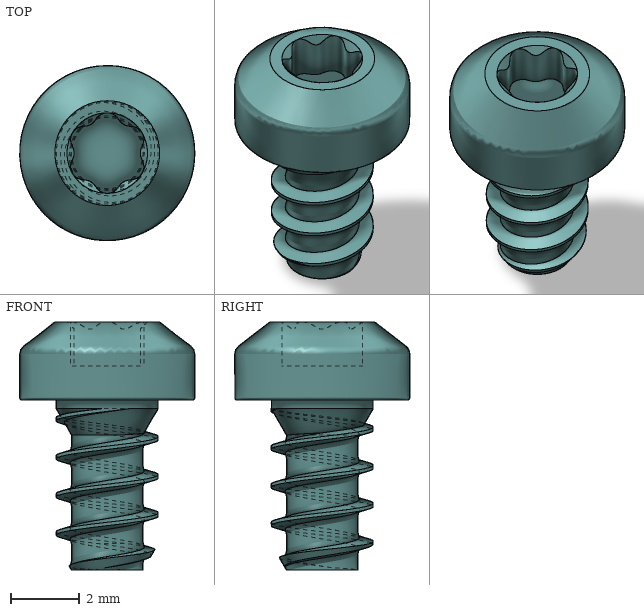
import cadquery as cq
import math


head_radius = 2.575
head_height = 2.3
head_top_radius = 1.54
head_shoulder_height = 1.5
head_shoulder_fillet = 0.3
head_bottom_fillet = 0.075

lobe_count = 6
socket_depth = 1.3
socket_outer_radius = 1.184
socket_waist_radius = 0.973
lobe_arc_radius = 0.38
waist_arc_radius = 0.4

shank_length = 5.0
thread_radius = 1.5
core_radius = 1.05
collar_length = 0.25
cone_half_angle = math.radians(30)
pitch = 1.12
crest_width = 0.1
flank_angle = math.radians(15)
root_taper_height = 0.04
root_taper_half_width = 0.32

stock_overrun = 1.0
crest_overrun = 0.1
cone_root_overlap = 0.1
groove_extra_turns = 2


def polar(radius, angle):
    """Point in the XY plane at the given radius and angle."""
    return (radius * math.cos(angle), radius * math.sin(angle))


def to_polar(x, y):
    """Radius and angle of a point in the XY plane."""
    return (math.hypot(x, y), math.atan2(y, x))


def revolve_outline(points):
    """Revolve a closed (radius, z) outline about the Z axis, starting from the +Y side."""
    return cq.Workplane("YZ").polyline(points).close().revolve(360, (0, 0, 0), (0, 1, 0))


def make_head():
    """Cylinder topped by a cone, with a rounded shoulder and underside edge."""
    head = revolve_outline([
        (0, 0),
        (head_radius, 0),
        (head_radius, head_shoulder_height),
        (head_top_radius, head_height),
        (0, head_height),
    ])
    head = head.edges(cq.selectors.RadiusNthSelector(-1)).edges(">Z").fillet(head_shoulder_fillet)
    return head.faces("<Z").edges().fillet(head_bottom_fillet)


def socket_outline():
    """Lobe arcs and waist arcs joined by their common tangent lines."""
    half_step = math.pi / lobe_count
    lobe_centre = socket_outer_radius - lobe_arc_radius
    waist_centre = socket_waist_radius + waist_arc_radius

    waist_x, waist_y = polar(waist_centre, half_step)
    span = math.hypot(waist_x - lobe_centre, waist_y)
    span_angle = math.atan2(waist_y, waist_x - lobe_centre)
    normal_angle = span_angle - math.acos((lobe_arc_radius + waist_arc_radius) / span)
    normal_x, normal_y = polar(1, normal_angle)

    lobe_end_radius, lobe_end_angle = to_polar(
        lobe_centre + lobe_arc_radius * normal_x, lobe_arc_radius * normal_y)
    waist_end_radius, waist_end_angle = to_polar(
        waist_x - waist_arc_radius * normal_x, waist_y - waist_arc_radius * normal_y)

    first_lobe = math.pi / 2
    outline = cq.Workplane("XY").workplane(offset=head_height - socket_depth)
    outline = outline.moveTo(*polar(lobe_end_radius, first_lobe - lobe_end_angle))
    for index in range(lobe_count):
        lobe = first_lobe + 2 * half_step * index
        waist = lobe + half_step
        next_lobe = waist + half_step
        outline = (
            outline
            .threePointArc(polar(socket_outer_radius, lobe), polar(lobe_end_radius, lobe + lobe_end_angle))
            .lineTo(*polar(waist_end_radius, lobe + waist_end_angle))
            .threePointArc(
                polar(socket_waist_radius, waist), polar(waist_end_radius, next_lobe - waist_end_angle))
            .lineTo(*polar(lobe_end_radius, next_lobe - lobe_end_angle))
        )
    return outline.close()


def make_socket():
    """Six-lobe recess with a 45 degree lead-in as wide as the lobes."""
    lead_in = revolve_outline([
        (0, head_height),
        (socket_outer_radius, head_height),
        (0, head_height - socket_outer_radius),
    ])
    return socket_outline().extrude(socket_depth).union(lead_in)


def make_thread_groove():
    """Right-handed helical gap between ridges whose crests cross +X at whole pitches below the head."""
    height = (math.ceil(shank_length / pitch) + groove_extra_turns) * pitch
    start_z = pitch / 2 - height

    outer_radius = thread_radius + 2 * crest_overrun
    foot_radius = core_radius + root_taper_height
    foot_half_width = crest_width / 2 + (thread_radius - foot_radius) * math.tan(flank_angle)
    outer_half_width = crest_width / 2 - (outer_radius - thread_radius) * math.tan(flank_angle)

    upper_side = [
        (core_radius, pitch / 2 - root_taper_half_width),
        (foot_radius, pitch / 2 - foot_half_width),
        (outer_radius, pitch / 2 - outer_half_width),
    ]
    lower_side = [(radius, -offset) for radius, offset in reversed(upper_side)]
    profile = [(radius, start_z + offset) for radius, offset in upper_side + lower_side]

    helix = cq.Wire.makeHelix(pitch, height, core_radius, center=cq.Vector(0, 0, start_z))
    return cq.Workplane("XZ").polyline(profile).close().sweep(cq.Workplane(helix), isFrenet=True)


def make_shank():
    """Threaded shank running out into a cone under the collar and trimmed to a cone at the tip."""
    slope = math.tan(cone_half_angle)
    stock_radius = thread_radius + crest_overrun
    stock = revolve_outline([
        (0, -shank_length - stock_overrun),
        (stock_radius, -shank_length - stock_overrun),
        (stock_radius, stock_overrun),
        (0, stock_overrun),
    ])

    cone_inner_radius = core_radius - cone_root_overlap
    cone_outer_radius = stock_radius + crest_overrun
    cone_bottom = -collar_length - (thread_radius - cone_inner_radius) / slope
    cone_top = -collar_length + (cone_outer_radius - thread_radius) / slope
    run_out = revolve_outline([
        (0, cone_bottom),
        (cone_inner_radius, cone_bottom),
        (cone_outer_radius, cone_top),
        (cone_outer_radius, stock_overrun),
        (0, stock_overrun),
    ])

    envelope = revolve_outline([
        (0, -shank_length),
        (core_radius, -shank_length),
        (thread_radius, -shank_length + (thread_radius - core_radius) / slope),
        (thread_radius, 0),
        (0, 0),
    ])
    return stock.cut(make_thread_groove()).union(run_out).intersect(envelope)


result = make_head().union(make_shank()).cut(make_socket())